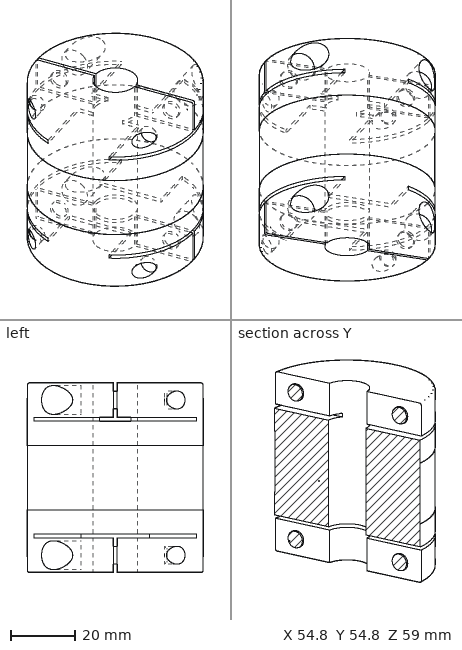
import cadquery as cq

length = 59.0
diameter = 54.8
sleeve_length = 20.0
sleeve_diameter = 54.65
bore_diameter = 14.0
rim_fillet = 0.75

slit_width = 1.2
clamp_height = 10.75
slot_height = 1.2
web_half_width = 10.6
top_window_half_width = 4.85
bottom_window_half_width = 10.6

screw_offset = 19.5
screw_diameter = 5.55
head_hole_diameter = 8.95
head_hole_floor = 10.6
tip_hole_floor = -15.35
tip_chamfer = 0.7

radius = diameter / 2
screw_height = (length - clamp_height) / 2


def z_cylinder(cylinder_diameter, height):
    """Cylinder on the Z axis, centred on the origin."""
    return cq.Workplane("XY", origin=(0, 0, -height / 2)).circle(cylinder_diameter / 2).extrude(height)


def y_cylinder(x, z, cylinder_diameter, y_start, y_end):
    """Cylinder parallel to Y between two Y positions."""
    base = cq.Workplane("XZ", origin=(x, y_start, z))
    return base.circle(cylinder_diameter / 2).extrude(y_start - y_end)


def make_body():
    """Bored cylinder with rounded rims and a relieved centre sleeve."""
    body = z_cylinder(diameter, length).faces("|Z").edges().fillet(rim_fillet)
    sleeve_relief = z_cylinder(2 * diameter, sleeve_length).cut(z_cylinder(sleeve_diameter, sleeve_length))
    return body.cut(sleeve_relief).cut(z_cylinder(bore_diameter, length))


def make_clamp_cut(side, window_half_width):
    """Slit and slot of one end; side is +1 for the top and -1 for the bottom."""
    slit_depth = clamp_height + slot_height
    slit = cq.Workplane("XY").box(diameter, slit_width, slit_depth)
    slit = slit.translate((0, 0, side * (length - slit_depth) / 2))

    slot = cq.Workplane("XY").box(diameter, diameter, slot_height)
    web = cq.Workplane("XY").box(2 * web_half_width, diameter, slot_height)
    window = cq.Workplane("XY").box(diameter, 2 * window_half_width, slot_height)
    slot = slot.cut(web).union(window)
    slot_centre = length / 2 - clamp_height - slot_height / 2
    return slit.union(slot.translate((0, 0, side * slot_centre)))


def add_screw(body, x, z, has_tip):
    """Head and tip holes with a screw across the slit; its chamfered tip stands in the tip hole."""
    body = body.cut(y_cylinder(x, z, head_hole_diameter, head_hole_floor, radius))
    body = body.cut(y_cylinder(x, z, screw_diameter, -radius, tip_hole_floor))
    if has_tip:
        shank = y_cylinder(x, z, screw_diameter, tip_hole_floor - tip_chamfer, head_hole_floor)
        shank = shank.faces("<Y").chamfer(tip_chamfer)
    else:
        shank = y_cylinder(x, z, screw_diameter, tip_hole_floor, head_hole_floor)
    return body.union(shank)


result = make_body()
result = result.cut(make_clamp_cut(1, top_window_half_width))
result = result.cut(make_clamp_cut(-1, bottom_window_half_width))

for z in (screw_height, -screw_height):
    result = add_screw(result, -screw_offset, z, has_tip=True)
    result = add_screw(result, screw_offset, z, has_tip=False)